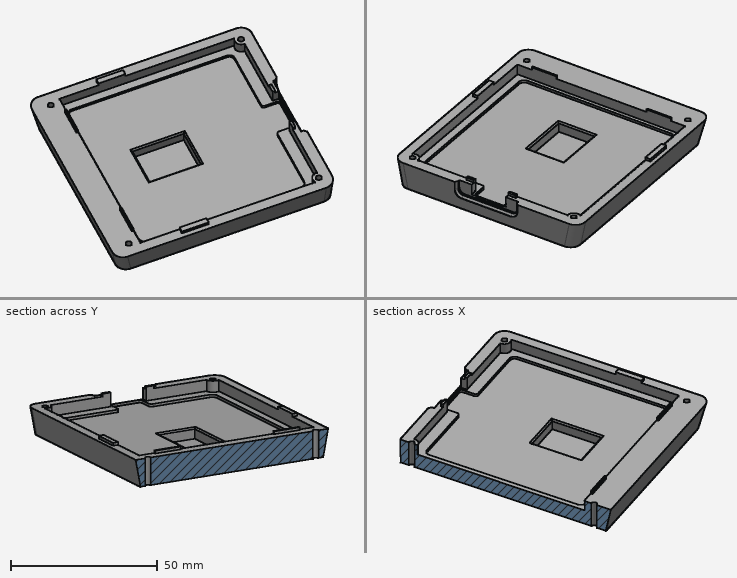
import cadquery as cq
length = 82.3
width = 76.0
height = 11.0
tab_height = 1.0
rim_z = height - tab_height
taper_inset = 2.0
corner_radius = 4.0
back_y = length / 2

cavity_half_width = 34.3
cavity_back_y = back_y - 4.2
cavity_front_y = -30.7
shelf_z = rim_z - 4.0

recess_half_width = 31.35
recess_back_y = back_y - 8.5
recess_front_y = -29.3
recess_corner_radius = 2.0
floor_z = shelf_z - 1.0
tongue_half_width = 6.1
tongue_back_y = back_y - 2.05
tongue_radius = 1.0

pocket_half_width = 7.8
pocket_back_y = 4.45
pocket_front_y = -15.9
pocket_bottom_z = 1.0
pocket_lead_in = 0.6

hole_diameter = 2.05
hole_x = 33.0
hole_back_y = back_y - 4.5
hole_front_y = -34.5
boss_radius = 2.3

opening_half_width = 7.0
plug_half_width = 12.0
plug_depth = 1.8
plug_bottom_z = shelf_z - 1.0
plug_corner_radius = 2.0
plug_flare = 0.8
plug_lip = 0.2

long_tab = 10.0
side_tab_depth = 2.0
side_tab_back_y = -6.0
front_tab_inner_x = 18.4
front_tab_depth = 0.65
back_tab_length = 3.1
back_tab_depth = 1.0


def block(x0, x1, y0, y1, z0, z1):
    """Box between two opposite corners."""
    return cq.Workplane("XY").box(x1 - x0, y1 - y0, z1 - z0, centered=False).translate((x0, y0, z0))


def rounded_section(half_width, front_y, z):
    """Rounded rectangle sketch reaching from front_y to the back face."""
    return (
        cq.Sketch()
        .rect(2 * half_width, back_y - front_y)
        .vertices()
        .fillet(corner_radius)
        .moved(cq.Location(cq.Vector(0, (back_y + front_y) / 2, z)))
    )


def make_body():
    bottom = rounded_section(width / 2 - taper_inset, -back_y + taper_inset, 0)
    top = rounded_section(width / 2, -back_y, rim_z)
    return cq.Workplane("XY").placeSketch(bottom, top).loft(ruled=True)


def make_cavity():
    cavity = block(-cavity_half_width, cavity_half_width, cavity_front_y, cavity_back_y, shelf_z, rim_z)
    bosses = (
        cq.Workplane("XY", origin=(0, 0, shelf_z))
        .pushPoints([(-hole_x, hole_back_y), (hole_x, hole_back_y)])
        .circle(boss_radius)
        .extrude(rim_z - shelf_z)
    )
    return cavity.cut(bosses)


def make_floor_recess():
    main = block(-recess_half_width, recess_half_width, recess_front_y, recess_back_y, floor_z, shelf_z)
    main = main.edges("|Z").fillet(recess_corner_radius)
    tongue = block(-tongue_half_width, tongue_half_width, recess_front_y, tongue_back_y, floor_z, shelf_z)
    recess = main.union(tongue.edges("|Z and >Y").fillet(tongue_radius))
    inner_corners = cq.selectors.BoxSelector(
        (-tongue_half_width - tongue_radius, recess_back_y - tongue_radius, floor_z),
        (tongue_half_width + tongue_radius, recess_back_y + tongue_radius, shelf_z),
    )
    return recess.edges("|Z").edges(inner_corners).fillet(tongue_radius)


def make_pocket():
    pocket_width = 2 * pocket_half_width
    pocket_length = pocket_back_y - pocket_front_y
    neck_width = pocket_width - 2 * pocket_lead_in
    neck_length = pocket_length - 2 * pocket_lead_in
    neck_z = floor_z - pocket_lead_in
    centre_y = (pocket_back_y + pocket_front_y) / 2
    neck = (
        cq.Workplane("XY", origin=(0, centre_y, pocket_bottom_z))
        .rect(neck_width, neck_length)
        .extrude(neck_z - pocket_bottom_z)
    )
    lead_in = (
        cq.Workplane("XY", origin=(0, centre_y, neck_z))
        .rect(neck_width, neck_length)
        .workplane(offset=pocket_lead_in)
        .rect(pocket_width, pocket_length)
        .loft(ruled=True)
    )
    return neck.union(lead_in)


def plug_section(y, growth):
    """Plug outline across the back wall, enlarged all round by growth."""
    half_width = plug_half_width + growth
    bottom_z = plug_bottom_z - growth
    radius = plug_corner_radius + growth
    return (
        cq.Workplane("XZ", origin=(0, y, 0))
        .moveTo(-half_width, height)
        .lineTo(-half_width, bottom_z + radius)
        .radiusArc((-half_width + radius, bottom_z), -radius)
        .lineTo(half_width - radius, bottom_z)
        .radiusArc((half_width, bottom_z + radius), -radius)
        .lineTo(half_width, height)
        .close()
    )


def make_plug_recess():
    mouth_y = back_y - plug_lip
    straight = plug_section(back_y, 0).extrude(plug_depth)
    inner = plug_section(mouth_y - plug_flare, 0).wires().val()
    outer = plug_section(mouth_y, plug_flare).wires().val()
    flare = cq.Solid.makeLoft([inner, outer], True)
    lip = plug_section(back_y, plug_flare).extrude(plug_lip)
    return straight.union(cq.Workplane(flare)).union(lip)


def make_right_tabs():
    """Tabs on the +X half of the rim."""
    side = block(
        cavity_half_width, cavity_half_width + side_tab_depth,
        side_tab_back_y - long_tab, side_tab_back_y, rim_z, height,
    )
    front = block(
        front_tab_inner_x, front_tab_inner_x + long_tab,
        cavity_front_y - front_tab_depth, cavity_front_y, rim_z, height,
    )
    back = block(
        opening_half_width, opening_half_width + back_tab_length,
        cavity_back_y, cavity_back_y + back_tab_depth, rim_z, height,
    )
    return [side, front, back]


tray = make_body().cut(make_cavity()).cut(make_floor_recess()).cut(make_pocket())
tray = tray.cut(block(-opening_half_width, opening_half_width, cavity_front_y, back_y, shelf_z, rim_z))
tray = tray.cut(make_plug_recess())

for tab in make_right_tabs():
    tray = tray.union(tab).union(tab.mirror("YZ"))

screw_holes = (
    cq.Workplane("XY")
    .pushPoints([(side * hole_x, y) for side in (-1, 1) for y in (hole_front_y, hole_back_y)])
    .circle(hole_diameter / 2)
    .extrude(rim_z)
)
result = tray.cut(screw_holes)